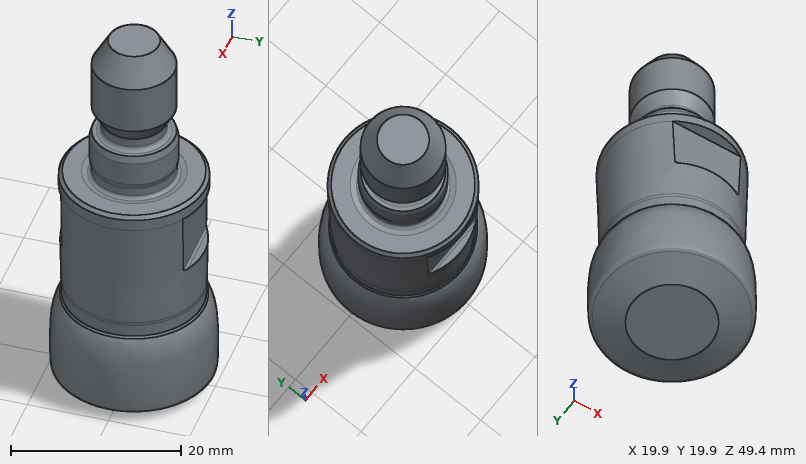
import cadquery as cq

total_height = 49.4
nose_base_z = 45.9
head_bottom_z = 39.7
neck_top_z = 37.65
neck_bottom_z = 36.55
collar_top_z = 35.95
collar_upper_edge_z = 35.05
collar_lower_edge_z = 31.95
shank_top_z = 31.2
flange_top_z = 29.87
flange_bottom_z = 27.95
flat_bottom_z = 19.9
barrel_bottom_z = 13.93
waist_top_z = 13.5
waist_bottom_z = 11.85
joint_z = 11.55

nose_tip_radius = 3.05
head_radius = 10.0 / 2
neck_radius = 7.7 / 2
neck_fillet = neck_bottom_z - collar_top_z
collar_radius = 10.5 / 2
collar_top_radius = 5.0
shank_radius = 10.1 / 2
head_taper_height = 1.8
head_taper_radius = 4.0

recess_radius = 6.2
recess_depth = 0.15
shank_fillet = 0.45

flange_radius = 17.8 / 2
flange_chamfer = 0.45
barrel_bottom_radius = 8.6
waist_radius = 8.55
lip_radius = 8.75
flat_half_width = 7.5
flat_fillet = 0.3

shoulder_points = [(9.35, 10.4), (9.65, 9.3), (9.9, 6.7)]
side_points = [(9.95, 4.45), (9.9, 2.25)]
corner_points = [(9.85, 1.7), (9.4, 1.3)]
sole_radius = 5.5
shoulder_slope = (1, -1)
sole_slope = (-3, -1)


def turned_pin_and_barrel():
    """Revolve the pin, flange and tapered barrel as one piece."""
    recess_z = flange_top_z - recess_depth
    head_taper_end_z = head_bottom_z - head_taper_height
    arc_part = 0.5 ** 0.5
    neck_arc_mid = (
        neck_radius + neck_fillet * (1 - arc_part),
        collar_top_z + neck_fillet * (1 - arc_part),
    )
    shank_arc_mid = (
        shank_radius + shank_fillet * (1 - arc_part),
        recess_z + shank_fillet * (1 - arc_part),
    )
    return (
        cq.Workplane("XZ")
        .moveTo(0, total_height)
        .lineTo(nose_tip_radius, total_height)
        .lineTo(head_radius, nose_base_z)
        .lineTo(head_radius, head_bottom_z)
        .lineTo(head_taper_radius, head_taper_end_z)
        .lineTo(neck_radius, neck_top_z)
        .lineTo(neck_radius, neck_bottom_z)
        .threePointArc(neck_arc_mid, (neck_radius + neck_fillet, collar_top_z))
        .lineTo(collar_top_radius, collar_top_z)
        .lineTo(collar_radius, collar_upper_edge_z)
        .lineTo(collar_radius, collar_lower_edge_z)
        .lineTo(shank_radius, shank_top_z)
        .lineTo(shank_radius, recess_z + shank_fillet)
        .threePointArc(shank_arc_mid, (shank_radius + shank_fillet, recess_z))
        .lineTo(recess_radius, flange_top_z)
        .lineTo(flange_radius - flange_chamfer, flange_top_z)
        .lineTo(flange_radius, flange_top_z - flange_chamfer)
        .lineTo(flange_radius, flange_bottom_z)
        .lineTo(barrel_bottom_radius, barrel_bottom_z)
        .lineTo(waist_radius, waist_top_z)
        .lineTo(waist_radius, waist_bottom_z)
        .lineTo(lip_radius, joint_z)
        .lineTo(0, joint_z)
        .close()
        .revolve(360, (0, 0, 0), (0, 1, 0))
    )


def wrench_flat_cutter(side):
    """Block that cuts one wrench flat, with a rounded inner bottom edge."""
    depth = flange_radius
    height = flange_bottom_z - flat_bottom_z
    block = cq.Workplane("XY").box(2 * flange_radius, depth, height)
    inner_face = "<Y" if side > 0 else ">Y"
    block = block.faces(inner_face).edges("<Z").fillet(flat_fillet)
    center_y = side * (flat_half_width + depth / 2)
    return block.translate((0, center_y, flat_bottom_z + height / 2))


def make_pin_barrel():
    body = turned_pin_and_barrel()
    for side in (-1, 1):
        body = body.cut(wrench_flat_cutter(side))
    return body


def make_foot():
    """Revolve the rounded foot that sits against the barrel's lower face."""
    outer_points = [*shoulder_points, *side_points, *corner_points]
    return (
        cq.Workplane("XZ")
        .moveTo(0, joint_z)
        .lineTo(lip_radius, joint_z)
        .spline(outer_points, tangents=[shoulder_slope, sole_slope], includeCurrent=True)
        .lineTo(sole_radius, 0)
        .lineTo(0, 0)
        .close()
        .revolve(360, (0, 0, 0), (0, 1, 0))
    )


pin_barrel = make_pin_barrel()
foot = make_foot()
result = cq.Compound.makeCompound([pin_barrel.val(), foot.val()])